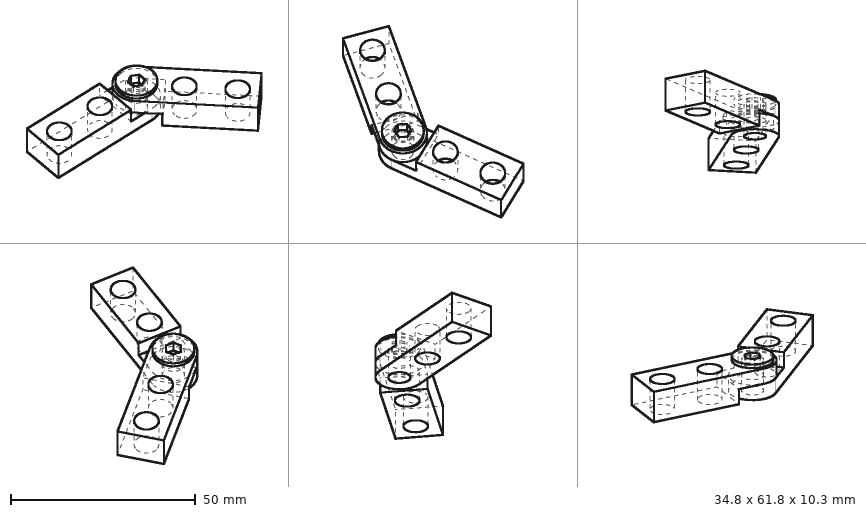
import cadquery as cq
import math

overall_length = 61.8
bar_width = 13.05
bar_height = 9.0
step_distance = 7.5
hole_diameter = 6.7
hole_distances = (13.05, 27.5)
upper_bar_angle = 45.0
lower_bar_angle = -90.0
pin_diameter = 6.0
head_diameter = 11.35
head_top = 10.25
head_clearance = 0.1
hex_across_flats = 4.0
hex_depth = 3.0
drill_point_angle = 120.0

end_radius = bar_width / 2
lap_height = bar_height / 2
upper_bar_sine = math.sin(math.radians(upper_bar_angle))
bar_length = (overall_length - end_radius * upper_bar_sine) / (1 + upper_bar_sine)
hex_across_corners = hex_across_flats / math.cos(math.pi / 6)
cone_radius = hex_across_flats / 2
cone_depth = cone_radius / math.tan(math.radians(drill_point_angle / 2))


def make_bar():
    """Bar along +X with its pivot at the origin and its lap tongue at the bottom."""
    bar = (
        cq.Workplane("XY")
        .moveTo(0, end_radius)
        .lineTo(bar_length, end_radius)
        .lineTo(bar_length, -end_radius)
        .lineTo(0, -end_radius)
        .threePointArc((-end_radius, 0), (0, end_radius))
        .close()
        .extrude(bar_height)
    )
    lap_cut = cq.Workplane("XY").box(
        end_radius + step_distance, bar_width, lap_height, centered=(False, True, False)
    ).translate((-end_radius, 0, lap_height))
    mounting_holes = (
        cq.Workplane("XY")
        .pushPoints([(distance, 0) for distance in hole_distances])
        .circle(hole_diameter / 2)
        .extrude(bar_height)
    )
    pivot_hole = cq.Workplane("XY").circle(pin_diameter / 2).extrude(bar_height)
    return bar.cut(lap_cut).cut(mounting_holes).cut(pivot_hole)


def make_lower_bar():
    return make_bar().rotate((0, 0, 0), (0, 0, 1), lower_bar_angle)


def make_upper_bar():
    """The same bar turned upside down, so its tongue lies on the lower one."""
    flipped = make_bar().rotate((0, 0, lap_height), (1, 0, lap_height), 180)
    return flipped.rotate((0, 0, 0), (0, 0, 1), upper_bar_angle)


def make_pivot_pin():
    """Pin through both tongues, with a flat head and a cone-bottomed hex socket."""
    head_bottom = bar_height + head_clearance
    shank = cq.Workplane("XY").circle(pin_diameter / 2).extrude(head_bottom)
    head = (
        cq.Workplane("XY", origin=(0, 0, head_bottom))
        .circle(head_diameter / 2)
        .extrude(head_top - head_bottom)
    )
    socket_floor = head_top - hex_depth
    socket = (
        cq.Workplane("XY", origin=(0, 0, socket_floor))
        .polygon(6, hex_across_corners)
        .extrude(hex_depth)
    )
    drill_point = (
        cq.Workplane("XZ")
        .moveTo(0, socket_floor)
        .lineTo(cone_radius, socket_floor)
        .lineTo(0, socket_floor - cone_depth)
        .close()
        .revolve(360, (0, 0), (0, 1))
    )
    return shank.union(head).cut(socket).cut(drill_point)


lower_bar = make_lower_bar()
upper_bar = make_upper_bar()
pivot_pin = make_pivot_pin()

result = cq.Compound.makeCompound([lower_bar.val(), upper_bar.val(), pivot_pin.val()])